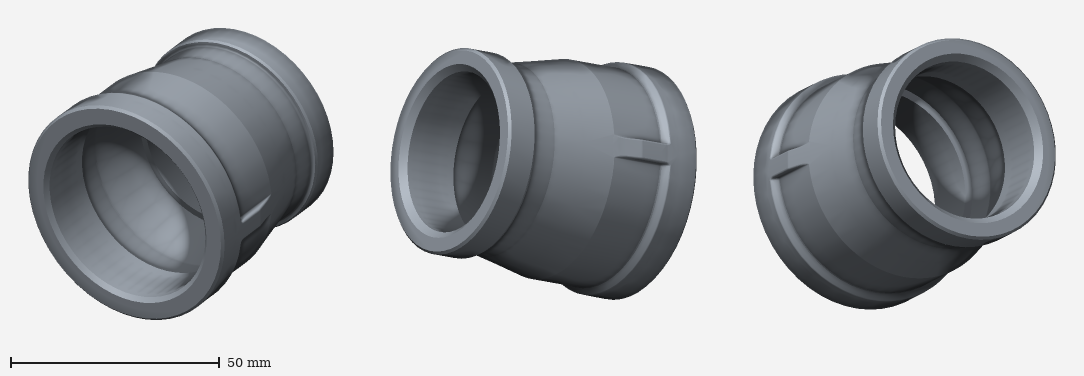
import cadquery as cq
import math

length = 53.0

band_diameter = 56.5
band_length = 8.1
rib_top_diameter = 56.25
wall_diameter = 53.3
shoulder_end = 9.75
cone_start = 23.4
cone_end = 38.65
neck_diameter = 47.0
collar_diameter = 50.0
collar_length = 8.0
end_chamfer = 0.6
collar_inner_chamfer = 0.35
edge_round = 0.5
cone_blend = 2.0
rib_width = 5.0

large_bore_diameter = 44.8
large_mouth_diameter = 47.0
large_relief_diameter = 48.7
small_bore_diameter = 38.95
small_relief_diameter = 42.05
thread_length = 15.0

clearance = 1.7
tolerance = 0.03

band_radius = band_diameter / 2
rib_top_radius = rib_top_diameter / 2
wall_radius = wall_diameter / 2
neck_radius = neck_diameter / 2
collar_radius = collar_diameter / 2
cone_slope = (wall_radius - neck_radius) / (cone_end - cone_start)
rib_end = cone_start - (rib_top_radius - wall_radius) / cone_slope
collar_start = length - collar_length


def revolve_about_y(points):
    """Solid of revolution about Y from (radius, y) points."""
    return cq.Workplane("XY").polyline(points).close().revolve(360, (0, 0), (0, 1))


def edges_within(radius, y_start, y_end):
    """Selector for edges wholly inside a box around the axis between two heights."""
    reach = radius + tolerance
    return cq.selectors.BoxSelector(
        (-reach, y_start - tolerance, -reach),
        (reach, y_end + tolerance, reach),
        boundingbox=True,
    )


def outer_blank():
    """Outside of the socket with the rib height carried all the way round."""
    blank = revolve_about_y([
        (0, 0),
        (band_radius - end_chamfer, 0),
        (band_radius, end_chamfer),
        (rib_top_radius, rib_end),
        (neck_radius, cone_end),
        (neck_radius, collar_start),
        (collar_radius - collar_inner_chamfer, collar_start),
        (collar_radius, collar_start + end_chamfer),
        (collar_radius, length - end_chamfer),
        (collar_radius - end_chamfer, length),
        (0, length),
    ])
    blank = blank.edges(edges_within(rib_top_radius, rib_end, rib_end)).fillet(cone_blend)
    return blank.edges(edges_within(neck_radius, collar_start, collar_start)).fillet(edge_round)


def wall_recess():
    """Cutter that lowers the blank to the wall on both sides of the two ribs.

    It reaches past the blank outside and along the cone, so its rounded floor
    edges leave root fillets that fade out where each rib runs into the cone.
    """
    clear_radius = band_radius + clearance
    shoulder_slope = (shoulder_end - band_length) / (rib_top_radius - wall_radius)
    clear_y = shoulder_end - shoulder_slope * (clear_radius - wall_radius)
    ring = revolve_about_y([
        (wall_radius, shoulder_end),
        (clear_radius, clear_y),
        (clear_radius, cone_end),
        (wall_radius, cone_end),
    ])
    ribs = cq.Workplane("XY").box(2 * length, 2 * length, rib_width)
    recess = ring.cut(ribs)
    floor_edges = recess.edges(edges_within(wall_radius, shoulder_end, cone_end))
    corner_edges = recess.edges(edges_within(clear_radius, clear_y, shoulder_end)).edges("%HYPERBOLA")
    return floor_edges.add(corner_edges).fillet(edge_round)


def is_recess_rim(edge):
    """True for edges where the recess breaks through the outside of the blank."""
    middle = edge.positionAt(0.5)
    if not end_chamfer + tolerance < middle.y < cone_start - tolerance:
        return False
    if abs(middle.z) < rib_width / 2 - tolerance:
        return False
    taper = (band_radius - rib_top_radius) / (rib_end - end_chamfer)
    band_radius_here = band_radius - taper * (middle.y - end_chamfer)
    cone_radius_here = wall_radius + cone_slope * (cone_start - middle.y)
    outside_radius = min(band_radius_here, cone_radius_here)
    return abs(math.hypot(middle.x, middle.z) - outside_radius) < tolerance


def outer_body():
    """Blank with the recess cut and its rim rounded along the band and the ribs."""
    body = outer_blank().cut(wall_recess())
    rim = [edge for edge in body.edges().vals() if is_recess_rim(edge)]
    return body.newObject(rim).fillet(edge_round)


def bore():
    """Threaded bores, reliefs and joining cone, with a chamfer at each mouth."""
    large_radius = large_bore_diameter / 2
    large_mouth_radius = large_mouth_diameter / 2
    large_relief_radius = large_relief_diameter / 2
    small_radius = small_bore_diameter / 2
    small_relief_radius = small_relief_diameter / 2
    small_thread_start = length - thread_length
    cavity = revolve_about_y([
        (0, 0),
        (large_mouth_radius, 0),
        (large_radius, large_mouth_radius - large_radius),
        (large_radius, thread_length),
        (large_relief_radius, thread_length),
        (large_relief_radius, cone_start),
        (small_relief_radius, small_thread_start),
        (small_radius, small_thread_start),
        (small_radius, length - (small_relief_radius - small_radius)),
        (small_relief_radius, length),
        (0, length),
    ])
    return cavity.edges(edges_within(large_relief_radius, cone_start, cone_start)).fillet(cone_blend)


result = outer_body().cut(bore())